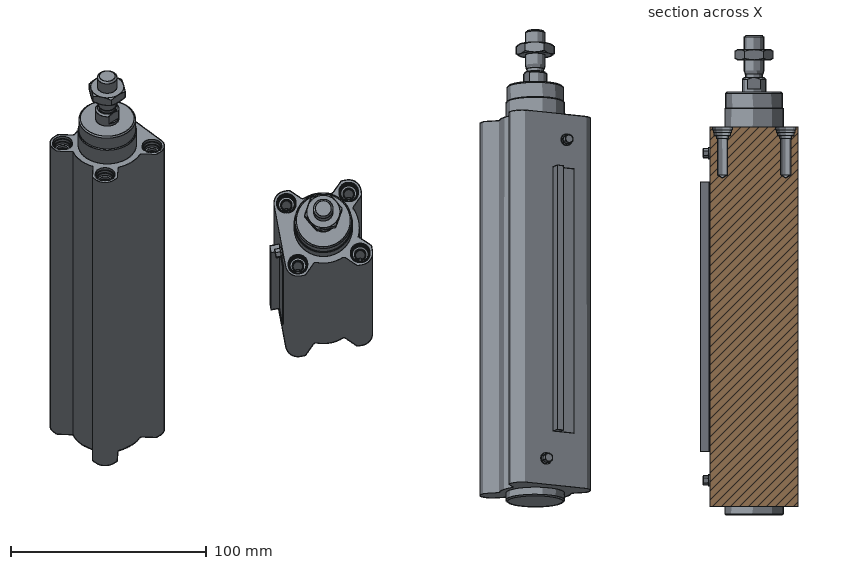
import cadquery as cq
import math

total_height = 245.0
body_bottom = 4.5
body_top = 198.3
body_length = body_top - body_bottom
body_middle = (body_bottom + body_top) / 2

body_half_width = 22.5
hole_offset = 16.2
lobe_radius = body_half_width - hole_offset
lobe_edge = 13.5
lobe_edge_radius = 1.5
barrel_radius = 18.5
barrel_corner_radius = 1.5

hole_step_diameters = (10.0, 9.0, 8.0, 6.0)
hole_step_depth = 1.5
pilot_diameter = 5.0
pilot_depth = 24.5
hole_tip_angle = 118.0

boss_diameter = 30.0
boss_edge_chamfer = 0.7
shoulder_top = 208.3
collar_diameter = 29.0
collar_top = 216.2

mount_root_depth = 2.5

rail_width = 3.7
rail_length = 137.7
rail_height = 5.0
rail_flange_height = 0.5
rail_flange_reach = 10.3

screw_offset = 6.0
screw_spacing = 167.2
screw_seat_diameter = 6.0
screw_seat_height = 0.7
screw_head_flats = 4.2
screw_head_height = 2.7
screw_chamfer_angle = 30.0

rod_diameter = 12.0
rod_top = 223.5
rod_edge_chamfer = 1.0
rod_bottom = body_top
flats_width = 10.0
flats_bottom = 217.6
neck_diameter = 8.5
thread_diameter = 10.0
thread_bottom = 225.2
thread_end_diameter = 9.0
thread_lead_in = 1.7
thread_tip_chamfer = 1.0

nut_flats = 17.0
nut_bottom = 232.5
nut_height = 5.1
nut_chamfer_angle = 30.0


def cylinder(diameter, bottom, top):
    return cq.Workplane("XY").workplane(offset=bottom).circle(diameter / 2).extrude(top - bottom)


def chamfered_hexagon(flats, height, angle):
    """Hexagon prism with corners on the Y axis, its corners turned off at both ends."""
    half_side_angle = 30.0
    corners = flats / math.cos(math.radians(half_side_angle))
    prism = cq.Workplane("XY").polygon(6, corners).extrude(height)
    prism = prism.rotate((0, 0, 0), (0, 0, 1), half_side_angle)
    rim = (corners - flats) / 2 * math.tan(math.radians(angle))
    turned = (
        cq.Workplane("XZ")
        .moveTo(0, 0)
        .lineTo(flats / 2, 0)
        .lineTo(corners / 2, rim)
        .lineTo(corners / 2, height - rim)
        .lineTo(flats / 2, height)
        .lineTo(0, height)
        .close()
        .revolve(360, (0, 0, 0), (0, 1, 0))
    )
    return prism.intersect(turned)


def lobe_arms():
    """Two crossed diagonal bars, each cut square to the outer sides of the body."""
    w = body_half_width
    e = lobe_edge
    points = [(-e, -w), (w, e), (w, w), (e, w), (-w, -e), (-w, -w)]
    arm = (
        cq.Workplane("XY")
        .workplane(offset=body_bottom)
        .polyline(points)
        .close()
        .extrude(body_length)
    )
    return arm.union(arm.mirror("YZ"))


def fillet_uprights(solid, places, radius):
    """Round the vertical edges that stand at the given (x, y) places."""
    margin = 0.12
    for x, y in places:
        box = cq.selectors.BoxSelector(
            (x - margin, y - margin, body_bottom - margin),
            (x + margin, y + margin, body_top + margin),
        )
        solid = solid.edges(box).fillet(radius)
    return solid


def make_profile():
    """Extruded body: a round barrel, four lobes and a flat +Y side."""
    w = body_half_width
    e = lobe_edge
    signs = (-1, 1)
    flat_side = cq.Workplane("XY").box(2 * e, w, body_length, centered=(True, False, False))
    profile = (
        lobe_arms()
        .union(cylinder(2 * barrel_radius, body_bottom, body_top))
        .union(flat_side.translate((0, 0, body_bottom)))
    )

    outer_corners = [(sx * w, sy * w) for sx in signs for sy in signs]
    profile = fillet_uprights(profile, outer_corners, lobe_radius)

    lobe_drift = w - e
    near = (math.sqrt(2 * barrel_radius**2 - lobe_drift**2) - lobe_drift) / 2
    far = near + lobe_drift
    inner_corners = [(sx * far, sy * near) for sx in signs for sy in signs]
    profile = fillet_uprights(profile, inner_corners, barrel_corner_radius)

    lobe_edges = [(sx * w, sy * e) for sx in signs for sy in signs]
    lobe_edges += [(sx * e, -w) for sx in signs]
    return fillet_uprights(profile, lobe_edges, lobe_edge_radius)


def make_lobe_hole():
    """Cutter for one hole that narrows in steps to a pilot bore with a drill-point end."""
    tip = pilot_diameter / 2 / math.tan(math.radians(hole_tip_angle / 2))
    outline = cq.Workplane("XZ").moveTo(0, 0)
    for step, diameter in enumerate(hole_step_diameters):
        outline = outline.lineTo(diameter / 2, -step * hole_step_depth)
        outline = outline.lineTo(diameter / 2, -(step + 1) * hole_step_depth)
    return (
        outline.lineTo(pilot_diameter / 2, -len(hole_step_diameters) * hole_step_depth)
        .lineTo(pilot_diameter / 2, -pilot_depth)
        .lineTo(0, -pilot_depth - tip)
        .close()
        .revolve(360, (0, 0, 0), (0, 1, 0))
        .translate((0, 0, body_top))
    )


def rail_block(x_min, x_max, height):
    """Block along the middle of the flat side, rooted in the body and standing out by a height."""
    depth = mount_root_depth + height
    block = cq.Workplane("XY").box(x_max - x_min, depth, rail_length, centered=(False, False, True))
    return block.translate((x_min, body_half_width - mount_root_depth, body_middle))


def make_rail():
    """Long rail on the flat side, with a thin flange reaching out towards -X."""
    rail = rail_block(-rail_width / 2, rail_width / 2, rail_height)
    flange = rail_block(-rail_flange_reach, 0, rail_flange_height)
    return rail.union(flange)


def make_side_screw():
    """Hexagon head on a round seat, pointing along +Y with corners up and down."""
    seat = cylinder(screw_seat_diameter, -mount_root_depth, screw_seat_height)
    head = chamfered_hexagon(screw_head_flats, screw_head_height, screw_chamfer_angle)
    head = head.translate((0, 0, screw_seat_height))
    return seat.union(head).rotate((0, 0, 0), (1, 0, 0), -90).translate((0, body_half_width, 0))


def make_housing():
    lower_boss = cylinder(boss_diameter, 0, body_bottom).faces("<Z").chamfer(boss_edge_chamfer)
    shoulder = cylinder(boss_diameter, body_top, shoulder_top)
    shoulder = shoulder.faces(">Z").chamfer(boss_edge_chamfer)
    collar = cylinder(collar_diameter, body_top, collar_top).faces(">Z").chamfer(boss_edge_chamfer)
    housing = make_profile().union(lower_boss).union(shoulder).union(collar).union(make_rail())

    for side in (-1, 1):
        place = (side * screw_offset, 0, body_middle - side * screw_spacing / 2)
        housing = housing.union(make_side_screw().translate(place))

    for x in (-hole_offset, hole_offset):
        for y in (-hole_offset, hole_offset):
            housing = housing.cut(make_lobe_hole().translate((x, y, 0)))

    return housing.cut(cylinder(rod_diameter, rod_bottom, collar_top))


def make_rod():
    """Piston rod with two wrench flats, a neck and a threaded end."""
    shaft = cylinder(rod_diameter, rod_bottom, rod_top).faces(">Z").chamfer(rod_edge_chamfer)
    flats_height = rod_top - flats_bottom
    flatted = cq.Workplane("XY").workplane(offset=flats_bottom)
    flatted = flatted.rect(flats_width, rod_diameter).extrude(flats_height)
    shaft = shaft.intersect(flatted.union(cylinder(rod_diameter, rod_bottom, flats_bottom)))
    neck = cylinder(neck_diameter, rod_bottom, thread_bottom)
    thread = cylinder(thread_diameter, thread_bottom, total_height)
    thread = thread.faces(">Z").chamfer(thread_tip_chamfer)
    thread = thread.faces("<Z").chamfer(thread_lead_in, (thread_diameter - thread_end_diameter) / 2)
    return shaft.union(neck).union(thread)


def make_nut():
    nut = chamfered_hexagon(nut_flats, nut_height, nut_chamfer_angle)
    nut = nut.translate((0, 0, nut_bottom))
    return nut.cut(cylinder(thread_diameter, nut_bottom, nut_bottom + nut_height))


housing = make_housing()
rod = make_rod()
lock_nut = make_nut()

result = cq.Compound.makeCompound([housing.val(), rod.val(), lock_nut.val()])